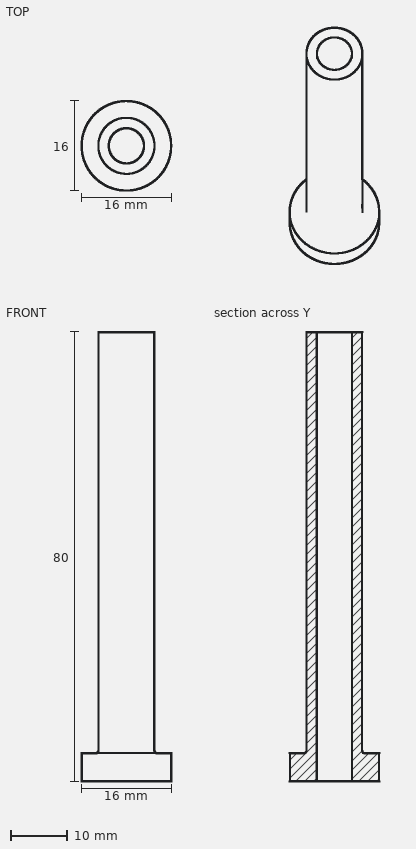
import cadquery as cq

total_length = 80.0
head_diameter = 16.0
head_height = 5.0
shaft_diameter = 10.0
bore_diameter = 6.2
neck_fillet_radius = 0.5

head = cq.Workplane("XY").circle(head_diameter / 2).extrude(head_height)
shaft = cq.Workplane("XY").circle(shaft_diameter / 2).extrude(total_length)
body = head.union(shaft)

neck_edge = cq.selectors.RadiusNthSelector(0)
body = body.faces("<Z[-2]").edges(neck_edge).fillet(neck_fillet_radius)

bore = cq.Workplane("XY").circle(bore_diameter / 2).extrude(total_length)
result = body.cut(bore)